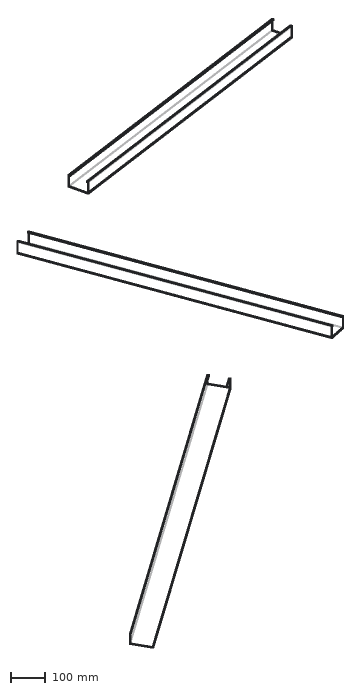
import cadquery as cq

length = 1046.0
width = 70.0
height = 40.0
sheet = 1.5
lip_width = 5.0
inner_bend_radius = 0.5

outer_bend_radius = inner_bend_radius + sheet
inner_width = width - 2 * sheet
mouth_width = width - 2 * lip_width


def bar(bar_width, bar_height, bottom):
    """Rectangular bar running the full length along Y, centred on X and Y."""
    return cq.Workplane("XY").workplane(offset=bottom).box(
        bar_width, length, bar_height, centered=(True, True, False)
    )


outer_body = bar(width, height, 0).edges("|Y").fillet(outer_bend_radius)
cavity = bar(inner_width, height - 2 * sheet, sheet).edges("|Y").fillet(inner_bend_radius)

mouth = bar(mouth_width, sheet, height - sheet)

result = outer_body.cut(cavity).cut(mouth)